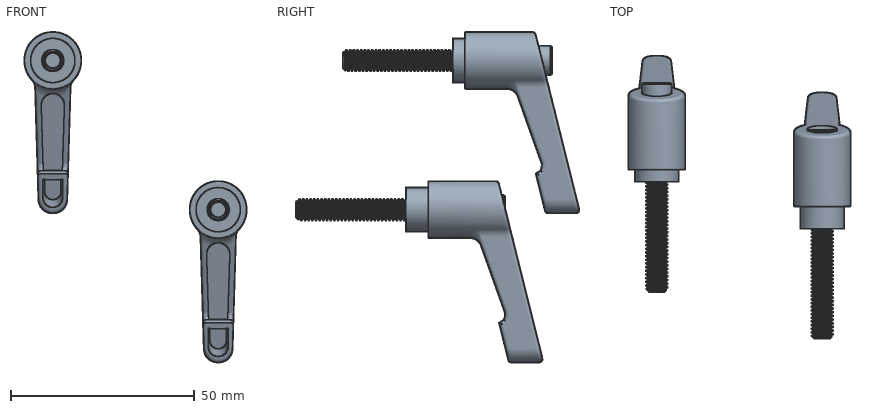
import cadquery as cq
import math


TOLERANCE = 0.0008158
EDGE_SAMPLES = [0, 0.25, 0.5, 0.75, 1]

HUB_DIAMETER = 15.6
HUB_RADIUS = HUB_DIAMETER / 2
HUB_FRONT_ROUND = 0.45
BACK_AT_AXIS = 21.1
BACK_ANGLE = 14.0
BACK_ROUND = 1.0

ARM_SIDE_DRAFT = 1.7
ARM_TIP_RADIUS = 4.0
LEVER_HEIGHT = 49.6
ARM_BOTTOM = LEVER_HEIGHT - HUB_RADIUS
ARM_FRONT_ANGLE = 19.6
ARM_FRONT_AT_HUB = 13.7
ARM_TIP_THICKNESS = 9.5
ARM_FRONT_ROUND = 1.0
ROOT_ROUND = 3.0

NOTCH_TOP = 28.1
NOTCH_LIP = 30.9
NOTCH_CURVE_END = 30.1
NOTCH_CURVE_RISE = 0.3

POCKET_TOP = 9.0
POCKET_BOTTOM = 30.0
POCKET_TOP_HALF_WIDTH = 3.2
POCKET_BOTTOM_HALF_WIDTH = 2.6
FLOOR_THICKNESS = 2.4

TIP_POCKET_TOP = 32.5
TIP_POCKET_BOTTOM = 40.1
TIP_POCKET_HALF_WIDTH = 2.7
TIP_POCKET_DRAFT = 4.0

INSERT_LENGTH = 27.1
BUTTON_RADIUS = 4.1
BUTTON_CHAMFER = 0.45
COLLAR_RADIUS = 6.05
STUD_LENGTH = 30.1
THREAD_RADIUS = 3.0
THREAD_TURNS = 30
THREAD_PITCH = STUD_LENGTH / THREAD_TURNS
THREAD_DEPTH = 0.61
RIDGE_SINK = 0.1
THREAD_START_ANGLE = 100.0
STUD_END_RADIUS = 2.1

LEVERS = [
    ((0, 0, 0), 3.25),
    ((45.2, -10.0, -40.7), 6.05),
]

BACK_SLOPE = math.tan(math.radians(BACK_ANGLE))
FRONT_SLOPE = math.tan(math.radians(ARM_FRONT_ANGLE))


def back_y(drop):
    """Y of the sloped back at a given drop below the axis."""
    return BACK_AT_AXIS + drop * BACK_SLOPE


def taper_y(drop):
    """Y of the arm's tapering front at a given drop below the axis."""
    return ARM_FRONT_AT_HUB + (drop - HUB_RADIUS) * FRONT_SLOPE


def tip_front_y(drop):
    """Y of the arm's front below the notch, parallel to the sloped back."""
    return back_y(drop) - ARM_TIP_THICKNESS


def cylinder_along_y(radius, start, end):
    return cq.Workplane("XZ", origin=(0, start, 0)).circle(radius).extrude(start - end)


def lies_on_back(point):
    return abs(point.y - back_y(-point.z)) < TOLERANCE


def is_back_edge(edge):
    return all(lies_on_back(point) for point in edge.positions(EDGE_SAMPLES))


def is_hub_edge(edge):
    return all(
        abs(math.hypot(point.x, point.z) - HUB_RADIUS) < TOLERANCE for point in edge.positions(EDGE_SAMPLES)
    )


def is_front_rim(edge):
    """True for the edges that run down one side of the arm's front and round its tip."""
    start = edge.startPoint()
    end = edge.endPoint()
    touches_back = lies_on_back(start) or lies_on_back(end)
    crosses_arm = start.x * end.x < -TOLERANCE
    return not (touches_back or crosses_arm)


def make_hub():
    blank = cylinder_along_y(HUB_RADIUS, 0, back_y(HUB_RADIUS)).edges("<Y").fillet(HUB_FRONT_ROUND)
    keep = (
        cq.Workplane("YZ")
        .polyline([
            (0, HUB_RADIUS),
            (back_y(-HUB_RADIUS), HUB_RADIUS),
            (back_y(HUB_RADIUS), -HUB_RADIUS),
            (0, -HUB_RADIUS),
        ])
        .close()
        .extrude(HUB_RADIUS, both=True)
    )
    return blank.intersect(keep)


def make_arm():
    """Side profile crossed with the front outline."""
    notch_y = taper_y(NOTCH_TOP)
    profile = (
        cq.Workplane("YZ")
        .moveTo(back_y(0), 0)
        .lineTo(back_y(ARM_BOTTOM), -ARM_BOTTOM)
        .lineTo(tip_front_y(ARM_BOTTOM), -ARM_BOTTOM)
        .lineTo(tip_front_y(NOTCH_LIP), -NOTCH_LIP)
        .lineTo(notch_y - NOTCH_CURVE_RISE, -NOTCH_CURVE_END)
        .threePointArc((notch_y, -(NOTCH_TOP + NOTCH_CURVE_END) / 2), (notch_y, -NOTCH_TOP))
        .lineTo(taper_y(0), 0)
        .close()
        .extrude(HUB_RADIUS, both=True)
    )
    draft = math.radians(ARM_SIDE_DRAFT)
    tip_centre = ARM_BOTTOM - ARM_TIP_RADIUS
    axis_half_width = ARM_TIP_RADIUS / math.cos(draft) + tip_centre * math.tan(draft)
    tangent_x = ARM_TIP_RADIUS * math.cos(draft)
    tangent_z = -tip_centre - ARM_TIP_RADIUS * math.sin(draft)
    outline = (
        cq.Workplane("XZ")
        .moveTo(-axis_half_width, 0)
        .lineTo(-tangent_x, tangent_z)
        .threePointArc((0, -ARM_BOTTOM), (tangent_x, tangent_z))
        .lineTo(axis_half_width, 0)
        .close()
        .extrude(-back_y(ARM_BOTTOM))
    )
    arm = profile.intersect(outline)
    rim = [edge for edge in arm.edges().vals() if is_front_rim(edge)]
    return arm.newObject(rim).fillet(ARM_FRONT_ROUND)


def make_handle():
    """Hub and arm with their rounded root and back."""
    handle = make_hub().union(make_arm())
    root = [
        edge
        for edge in handle.edges().vals()
        if is_hub_edge(edge) and not is_back_edge(edge) and edge.Center().z < -HUB_RADIUS / 2
    ]
    handle = handle.newObject(root).fillet(ROOT_ROUND)
    back_rim = [edge for edge in handle.edges().vals() if is_back_edge(edge)]
    return handle.newObject(back_rim).fillet(BACK_ROUND)


def make_long_pocket():
    """Arched pocket cut along Y, with its floor parallel to the sloped back."""
    arch_centre = -POCKET_TOP - POCKET_TOP_HALF_WIDTH
    opening = (
        cq.Workplane("XZ")
        .moveTo(-POCKET_BOTTOM_HALF_WIDTH, -POCKET_BOTTOM)
        .lineTo(-POCKET_TOP_HALF_WIDTH, arch_centre)
        .threePointArc((0, -POCKET_TOP), (POCKET_TOP_HALF_WIDTH, arch_centre))
        .lineTo(POCKET_BOTTOM_HALF_WIDTH, -POCKET_BOTTOM)
        .close()
        .extrude(-back_y(ARM_BOTTOM))
    )
    floor_offset = FLOOR_THICKNESS / math.cos(math.radians(BACK_ANGLE))
    above_floor = (
        cq.Workplane("YZ")
        .polyline([
            (0, 0),
            (back_y(0) - floor_offset, 0),
            (back_y(ARM_BOTTOM) - floor_offset, -ARM_BOTTOM),
            (0, -ARM_BOTTOM),
        ])
        .close()
        .extrude(HUB_RADIUS, both=True)
    )
    return opening.intersect(above_floor)


def make_tip_pocket():
    """Drafted pocket sunk square to the arm's front below the notch."""
    tilt = math.radians(BACK_ANGLE)
    length = (TIP_POCKET_BOTTOM - TIP_POCKET_TOP) / math.cos(tilt)
    depth = ARM_TIP_THICKNESS * math.cos(tilt) - FLOOR_THICKNESS
    mouth = cq.Plane(
        origin=(0, tip_front_y(TIP_POCKET_TOP), -TIP_POCKET_TOP),
        xDir=(1, 0, 0),
        normal=(0, math.cos(tilt), math.sin(tilt)),
    )
    straight = length - TIP_POCKET_HALF_WIDTH
    return (
        cq.Workplane(mouth)
        .moveTo(-TIP_POCKET_HALF_WIDTH, 0)
        .lineTo(-TIP_POCKET_HALF_WIDTH, straight)
        .threePointArc((0, length), (TIP_POCKET_HALF_WIDTH, straight))
        .lineTo(TIP_POCKET_HALF_WIDTH, 0)
        .close()
        .extrude(depth, taper=TIP_POCKET_DRAFT)
    )


def make_thread_ridge(turns):
    """Helical ridge around +Z, its root sunk a little into the stud's core."""
    core_radius = THREAD_RADIUS - THREAD_DEPTH
    half_crest = THREAD_PITCH / 8 / 2
    half_root = (THREAD_PITCH - THREAD_PITCH / 4) / 2
    half_sunk = half_root + RIDGE_SINK * (half_root - half_crest) / THREAD_DEPTH
    helix = cq.Wire.makeHelix(THREAD_PITCH, turns * THREAD_PITCH, core_radius)
    return (
        cq.Workplane("XZ", origin=(core_radius, 0, 0))
        .polyline([
            (-RIDGE_SINK, -half_sunk),
            (THREAD_DEPTH, -half_crest),
            (THREAD_DEPTH, half_crest),
            (-RIDGE_SINK, half_sunk),
        ])
        .close()
        .sweep(cq.Workplane(obj=helix), isFrenet=True)
        .rotate((0, 0, 0), (0, 0, 1), THREAD_START_ANGLE)
    )


def make_stud():
    """Threaded stud along +Z; its thread starts one pitch below Z = 0 and its core two pitches below."""
    turns = THREAD_TURNS + 2
    core = (
        cq.Workplane("XY", origin=(0, 0, -2 * THREAD_PITCH))
        .circle(THREAD_RADIUS - THREAD_DEPTH)
        .extrude((turns + 2) * THREAD_PITCH)
    )
    ridge = make_thread_ridge(turns).translate((0, 0, -THREAD_PITCH))
    bottom = -2 * THREAD_PITCH
    clear_radius = 2 * THREAD_RADIUS
    envelope = (
        cq.Workplane("XZ")
        .polyline([
            (0, bottom),
            (clear_radius, bottom),
            (clear_radius, STUD_LENGTH - clear_radius + STUD_END_RADIUS),
            (STUD_END_RADIUS, STUD_LENGTH),
            (0, STUD_LENGTH),
        ])
        .close()
        .revolve(360, (0, 0, 0), (0, 1, 0))
    )
    return core.union(ridge).intersect(envelope)


def make_insert(reach, stud):
    """Button, collar and stud; the collar face stands out of the hub by the given reach."""
    button_end = INSERT_LENGTH - reach
    button = cylinder_along_y(BUTTON_RADIUS, 0, button_end).faces(">Y").chamfer(BUTTON_CHAMFER)
    collar = cylinder_along_y(COLLAR_RADIUS, -reach, HUB_FRONT_ROUND)
    placed_stud = stud.rotate((0, 0, 0), (1, 0, 0), 90).translate((0, -reach, 0))
    return button.union(collar).union(placed_stud)


def make_lever(reach, handle, stud):
    """One solid: the handle with its insert, the button's end open to the sloped back."""
    bore = cylinder_along_y(BUTTON_RADIUS, HUB_FRONT_ROUND, back_y(HUB_RADIUS))
    return handle.cut(bore).union(make_insert(reach, stud))


handle = make_handle().cut(make_long_pocket()).cut(make_tip_pocket())
stud = make_stud()
levers = [make_lever(reach, handle, stud).translate(place) for place, reach in LEVERS]

result = cq.Compound.makeCompound([lever.val() for lever in levers])